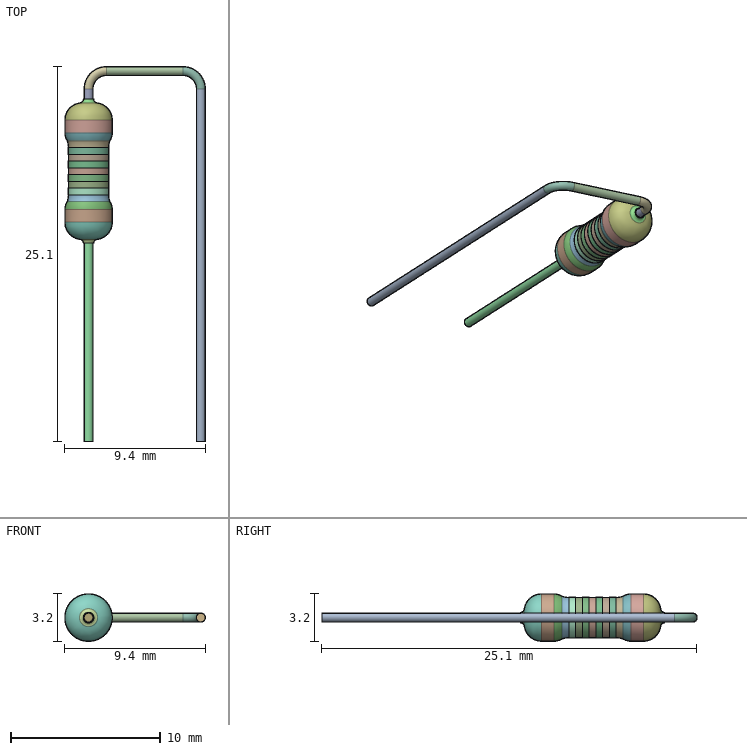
import cadquery as cq
import math


lead_diameter = 0.6
bend_radius = 1.2
lead_tip_y = -18.1
overall_length = 25.1
overall_width = 9.4
bridge_y = lead_tip_y + overall_length - lead_diameter / 2
bend_start_y = bridge_y - bend_radius

cap_diameter = 3.2
cap_inner_y = 2.55
cap_outer_y = 3.41
dome_end_y = 4.57
neck_base_radius = 0.6
neck_end_y = 4.82
neck_end_radius = 0.35
waist_diameter = 2.7
shoulder_end_y = 2.03
shoulder_radius = 1.43

band_diameter = 2.74
band_width = 0.45
band_pitch = 2 * band_width
band_count = 4
waist_end_y = (band_count * band_pitch - band_width) / 2

lead_radius = lead_diameter / 2
cap_radius = cap_diameter / 2
lead_spacing = overall_width - cap_radius - lead_radius
waist_radius = waist_diameter / 2
diagonal = math.sqrt(0.5)


def arc_middle(start_radius, start_y, end_radius, end_y):
    """Midpoint of the arc that leaves its start parallel to Y and reaches its end."""
    step = end_radius - start_radius
    rise = end_y - start_y
    arc_radius = (step**2 + rise**2) / (2 * abs(step))
    half_angle = math.atan2(abs(step), abs(rise))
    return (
        start_radius + math.copysign(arc_radius * (1 - math.cos(half_angle)), step),
        start_y + math.copysign(arc_radius * math.sin(half_angle), rise),
    )


def waist():
    """Plain cylinder between the two caps."""
    return (
        cq.Workplane("XZ", origin=(0, waist_end_y, 0))
        .circle(waist_radius)
        .extrude(2 * waist_end_y)
    )


def body_end():
    """Revolved cap, dome and neck at the +Y end of the waist."""
    neck_middle = (
        neck_base_radius - (neck_base_radius - neck_end_radius) * diagonal,
        neck_end_y - (neck_end_y - dome_end_y) * diagonal,
    )
    return (
        cq.Workplane("XY")
        .moveTo(cap_radius, cap_outer_y)
        .threePointArc(
            arc_middle(cap_radius, cap_outer_y, neck_base_radius, dome_end_y),
            (neck_base_radius, dome_end_y),
        )
        .threePointArc(neck_middle, (neck_end_radius, neck_end_y))
        .lineTo(0, neck_end_y)
        .lineTo(0, waist_end_y)
        .lineTo(waist_radius, waist_end_y)
        .threePointArc(
            arc_middle(waist_radius, waist_end_y, shoulder_radius, shoulder_end_y),
            (shoulder_radius, shoulder_end_y),
        )
        .threePointArc(
            arc_middle(cap_radius, cap_inner_y, shoulder_radius, shoulder_end_y),
            (cap_radius, cap_inner_y),
        )
        .close()
        .revolve(360, (0, 0, 0), (0, 1, 0))
    )


def colour_band(top_y):
    """Slightly raised ring around the waist, extending down from top_y."""
    return (
        cq.Workplane("XZ", origin=(0, top_y, 0))
        .circle(band_diameter / 2)
        .extrude(band_width)
    )


def bent_lead():
    """Wire through the body, over the bridge and back down beside the body."""
    bend_inset = bend_radius * (1 - diagonal)
    path = (
        cq.Workplane("XY")
        .moveTo(0, lead_tip_y)
        .lineTo(0, bend_start_y)
        .threePointArc((bend_inset, bridge_y - bend_inset), (bend_radius, bridge_y))
        .lineTo(lead_spacing - bend_radius, bridge_y)
        .threePointArc(
            (lead_spacing - bend_inset, bridge_y - bend_inset),
            (lead_spacing, bend_start_y),
        )
        .lineTo(lead_spacing, lead_tip_y)
    )
    return cq.Workplane("XZ", origin=(0, lead_tip_y, 0)).circle(lead_radius).sweep(path)


upper_end = body_end()
body = waist().union(upper_end).union(upper_end.mirror("XZ"))
for index in range(band_count):
    body = body.union(colour_band(waist_end_y - index * band_pitch))

result = body.union(bent_lead())